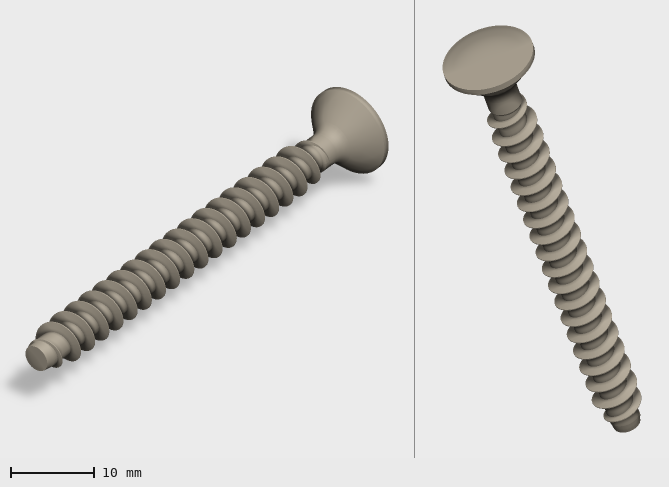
import cadquery as cq
import math

length = 60.0

cone_angle = math.radians(44)
head_radius = 5.65
rim_thickness = 0.8
neck_radius = 2.1
neck_end = 7.45
head_fillet_radius = 2.5

core_radius = 1.85
shoulder_length = 0.35
tip_radius = 1.7
tip_taper_length = 1.2

thread_turns = 19.5
thread_length = 52.5
thread_start = 6.85
pitch = thread_length / thread_turns
thread_radius = 3.0
thread_start_radius = 2.15
thread_end_radius = 1.85
ramp_turns = 1.25
crest_width = 0.1
root_width = 0.95
root_embed = 0.1
rib_height = thread_radius - core_radius + root_embed
segments_per_turn = 4
points_per_segment = 4


def make_body():
    """Revolve the head, neck, core and tip around the Y axis."""
    cone_end = rim_thickness + (head_radius - neck_radius) / math.tan(cone_angle)
    neck_arc_depth = cone_end + head_fillet_radius * math.tan(cone_angle / 2)

    def neck_arc(angle):
        return (
            neck_radius + head_fillet_radius * (1 - math.cos(angle)),
            -neck_arc_depth + head_fillet_radius * math.sin(angle),
        )

    profile = (
        cq.Workplane("XY")
        .moveTo(0, 0)
        .lineTo(head_radius, 0)
        .lineTo(head_radius, -rim_thickness)
        .lineTo(*neck_arc(cone_angle))
        .threePointArc(neck_arc(cone_angle / 2), neck_arc(0))
        .lineTo(neck_radius, -neck_end)
        .lineTo(core_radius, -neck_end - shoulder_length)
        .lineTo(core_radius, -length + tip_taper_length)
        .lineTo(tip_radius, -length)
        .lineTo(0, -length)
        .close()
    )
    return profile.revolve(360, (0, 0, 0), (0, 1, 0))


def crest_radius(turn):
    """Outer radius of the thread, rising at its start and fading at the tip."""
    rise = min(1, turn / ramp_turns)
    fade = min(1, (thread_turns - turn) / ramp_turns)
    start_drop = (thread_radius - thread_start_radius) * (1 - rise)
    end_drop = (thread_radius - thread_end_radius) * (1 - fade)
    return thread_radius - start_drop - end_drop


def rib_point(turn, radial_inset, axial_shift):
    """Point on the thread rib, offset from the middle of its crest."""
    angle = 2 * math.pi * turn
    radius = crest_radius(turn) - radial_inset
    depth = thread_start + pitch * turn
    return cq.Vector(radius * math.cos(angle), axial_shift - depth, radius * math.sin(angle))


def make_thread():
    """Trapezoidal rib of short ruled helical faces, closed by two flat ends."""
    section = [
        (rib_height, root_width / 2),
        (0, crest_width / 2),
        (0, -crest_width / 2),
        (rib_height, -root_width / 2),
    ]
    faces = []
    for segment in range(round(thread_turns * segments_per_turn)):
        turns = [
            (segment + step / points_per_segment) / segments_per_turn
            for step in range(points_per_segment + 1)
        ]
        edges = [cq.Edge.makeSpline([rib_point(turn, *corner) for turn in turns]) for corner in section]
        for index, edge in enumerate(edges):
            faces.append(cq.Face.makeRuledSurface(edge, edges[index - 1]))
    for turn in (0, thread_turns):
        corners = [rib_point(turn, *corner) for corner in section]
        faces.append(cq.Face.makeFromWires(cq.Wire.makePolygon(corners, close=True)))
    return cq.Workplane(cq.Solid.makeSolid(cq.Shell.makeShell(faces)))


result = make_body().union(make_thread())